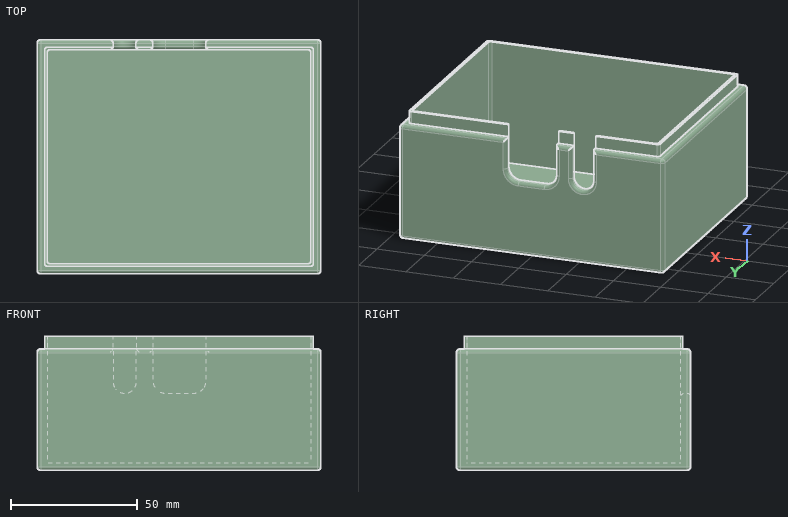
import cadquery as cq

length = 112.0
width = 92.4
height = 53.0

lip_height = 5.0
lip_inset = 3.0
lip_thickness = 1.0
floor_thickness = 3.0
edge_radius = 1.5
lip_corner_radius = 1.0
cavity_corner_radius = 1.0

opening_depth = 22.5
narrow_center_x = -21.5
narrow_width = 9.0
wide_center_x = 0.1
wide_width = 20.8
wide_corner_radius = 4.9
mouth_radius = 1.5

body_height = height - lip_height
wall = lip_inset + lip_thickness
back_y = width / 2


def upright_block(inset, bottom, top, corner_radius):
    """Rectangular block inset from the outer sides, with rounded upright edges."""
    return (
        cq.Workplane("XY", origin=(0, 0, bottom))
        .rect(length - 2 * inset, width - 2 * inset)
        .extrude(top - bottom)
        .edges("|Z")
        .fillet(corner_radius)
    )


def opening_outline(plane, center_x, opening_width, corner_radius):
    """Opening with rounded bottom corners, drawn on a plane facing -Y."""
    half = opening_width / 2
    bottom_z = height - opening_depth
    arc_center_z = bottom_z + corner_radius
    left = center_x - half
    right = center_x + half
    outline = (
        plane.moveTo(left, height)
        .lineTo(left, arc_center_z)
        .radiusArc((left + corner_radius, bottom_z), -corner_radius)
    )
    if half > corner_radius:
        outline = outline.lineTo(right - corner_radius, bottom_z)
    return (
        outline.radiusArc((right, arc_center_z), -corner_radius)
        .lineTo(right, height)
        .close()
    )


def cut_opening(solid, center_x, opening_width, corner_radius):
    """Cut an opening through the back wall and round both of its mouths."""
    margin = 2 * mouth_radius
    bottom_z = height - opening_depth - margin
    panel_height = height - bottom_z
    panel_width = opening_width + 2 * margin
    panel = cq.Workplane("XY").box(panel_width, wall, panel_height).translate(
        (center_x, back_y - wall / 2, bottom_z + panel_height / 2)
    )
    plane = cq.Workplane("XZ", origin=(0, back_y, 0))
    cutter = opening_outline(plane, center_x, opening_width, corner_radius).extrude(wall)
    reach = opening_width / 2 + mouth_radius
    low_corner = (center_x - reach, back_y - 2 * wall, bottom_z + mouth_radius)
    high_corner = (center_x + reach, back_y + wall, height - mouth_radius)
    rounded_panel = (
        panel.cut(cutter)
        .edges(cq.selectors.BoxSelector(low_corner, high_corner))
        .edges("not |Y")
        .fillet(mouth_radius)
    )
    return solid.cut(panel.cut(rounded_panel))


body = cq.Workplane("XY").box(length, width, body_height, centered=(True, True, False))
body = body.edges().fillet(edge_radius)
lip = upright_block(lip_inset, body_height - edge_radius, height, lip_corner_radius)
cavity = upright_block(wall, floor_thickness, height, cavity_corner_radius)

result = body.union(lip).cut(cavity)
result = cut_opening(result, narrow_center_x, narrow_width, narrow_width / 2)
result = cut_opening(result, wide_center_x, wide_width, wide_corner_radius)